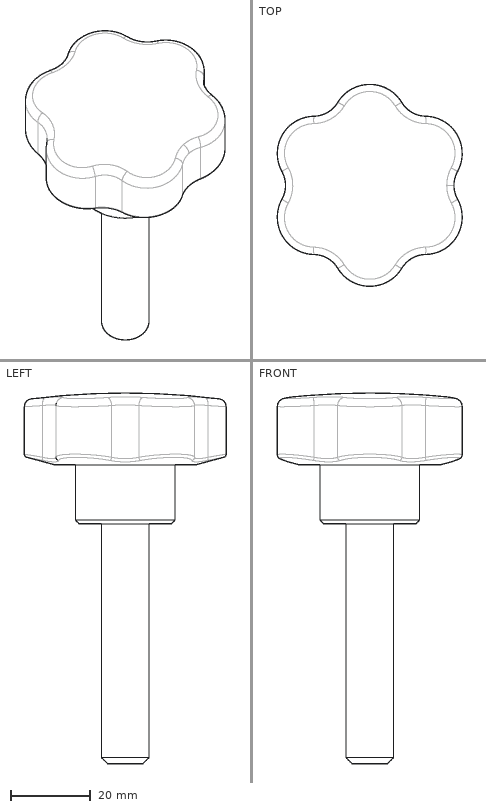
import cadquery as cq
import math

total_height = 93.0
head_height = 18.0
hub_height = 14.8
head_bottom = total_height - head_height
hub_bottom = head_bottom - hub_height

rod_diameter = 12.0
rod_chamfer = 1.6
hub_diameter = 25.0
hub_chamfer = 0.9

lobe_count = 6
tip_diameter = 50.7
lobe_radius = 9.4
notch_radius = 7.02
dome_drop = 1.7
underside_diameter = 35.5
underside_rise = 2.0
top_fillet = 2.0
bottom_fillet = 0.8

tip_radius = tip_diameter / 2
lobe_pitch = 2 * math.pi / lobe_count
lobe_center = tip_radius - lobe_radius
half_spacing = lobe_center * math.sin(lobe_pitch / 2)
notch_center = (lobe_center * math.cos(lobe_pitch / 2)
                + math.sqrt((lobe_radius + notch_radius) ** 2 - half_spacing ** 2))
notch_depth_radius = notch_center - notch_radius


def polar(radius, angle):
    return (radius * math.cos(angle), radius * math.sin(angle))


def tangent_point(lobe_angle, notch_angle):
    """Point where a lobe arc runs smoothly into a notch arc."""
    lobe = polar(lobe_center, lobe_angle)
    notch = polar(notch_center, notch_angle)
    share = lobe_radius / (lobe_radius + notch_radius)
    return tuple(a + share * (b - a) for a, b in zip(lobe, notch))


def lobed_prism():
    """Straight-sided lobes, one pointing along +Y, left overlong so the dome trims their tops."""
    first_lobe = math.pi / 2
    outline = cq.Workplane("XY").workplane(offset=head_bottom)
    outline = outline.moveTo(*tangent_point(first_lobe, first_lobe - lobe_pitch / 2))
    for i in range(lobe_count):
        lobe_angle = first_lobe + i * lobe_pitch
        notch_angle = lobe_angle + lobe_pitch / 2
        outline = outline.threePointArc(polar(tip_radius, lobe_angle),
                                        tangent_point(lobe_angle, notch_angle))
        outline = outline.threePointArc(polar(notch_depth_radius, notch_angle),
                                        tangent_point(lobe_angle + lobe_pitch, notch_angle))
    return outline.close().extrude(head_height + dome_drop)


def head_envelope():
    """Turned body with a domed top and a conical underside, wider than the lobes."""
    dome_radius = (tip_radius ** 2 + dome_drop ** 2) / (2 * dome_drop)
    envelope_radius = tip_radius + lobe_radius
    flat_radius = underside_diameter / 2
    cone_slope = underside_rise / (tip_radius - flat_radius)

    def dome_height(radius):
        return total_height - dome_radius + math.sqrt(dome_radius ** 2 - radius ** 2)

    return (
        cq.Workplane("XZ")
        .moveTo(0, head_bottom)
        .lineTo(flat_radius, head_bottom)
        .lineTo(envelope_radius, head_bottom + cone_slope * (envelope_radius - flat_radius))
        .lineTo(envelope_radius, dome_height(envelope_radius))
        .threePointArc((envelope_radius / 2, dome_height(envelope_radius / 2)), (0, total_height))
        .close()
        .revolve(360, (0, 0, 0), (0, 1, 0))
    )


def head():
    body = lobed_prism().intersect(head_envelope())
    body = body.faces("%SPHERE").edges().fillet(top_fillet)
    underside_rim = body.faces("%CONE").edges("not %CIRCLE")
    return underside_rim.fillet(bottom_fillet)


def hub():
    blank = cq.Workplane("XY").workplane(offset=hub_bottom).circle(hub_diameter / 2).extrude(hub_height)
    return blank.faces("<Z").edges().chamfer(hub_chamfer)


def rod():
    blank = cq.Workplane("XY").circle(rod_diameter / 2).extrude(hub_bottom)
    return blank.faces("<Z").edges().chamfer(rod_chamfer)


result = head().union(hub()).union(rod())